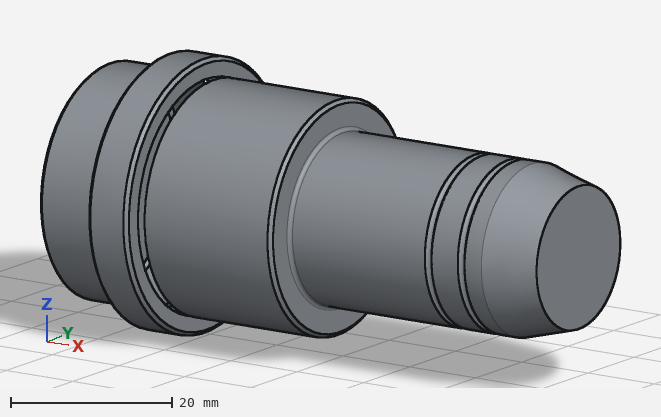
import cadquery as cq
import math

total_length = 71.0
body_diameter = 30.0
flange_diameter = 35.0
shank_diameter = 22.0

flange_start = 9.0
flange_end = 15.0
body_end = 35.0
taper_start = 64.0

edge_chamfer = 0.5
shank_root_fillet = 0.5
taper_angle = 15.0

groove_radius = 0.5
shank_groove_centers = (55.95, 60.9)


def cylinder(start, end, diameter):
    """Solid cylinder along X between two stations."""
    return cq.Workplane("YZ", origin=(start, 0, 0)).circle(diameter / 2).extrude(end - start)


def groove_ring(center, diameter):
    """Torus that cuts a half-round groove around a cylinder of the given diameter."""
    return (
        cq.Workplane("XY")
        .center(center, diameter / 2)
        .circle(groove_radius)
        .revolve(360, (0, -diameter / 2), (1, -diameter / 2))
    )


def make_body():
    """Head cylinder with a groove directly on each side of the flange."""
    body = cylinder(0, body_end, body_diameter).faces("<X or >X").chamfer(edge_chamfer)
    for center in (flange_start - groove_radius, flange_end + groove_radius):
        body = body.cut(groove_ring(center, body_diameter))
    return body


def make_flange():
    """Collar with both rims chamfered."""
    return cylinder(flange_start, flange_end, flange_diameter).faces("<X or >X").chamfer(edge_chamfer)


def make_shank():
    """Shank with a filleted root, two grooves and a tapered tip."""
    radius = shank_diameter / 2
    tip_radius = radius - (total_length - taper_start) * math.tan(math.radians(taper_angle))
    shank = (
        cq.Workplane("XY")
        .moveTo(body_end, 0)
        .lineTo(body_end, radius + shank_root_fillet)
        .radiusArc((body_end + shank_root_fillet, radius), -shank_root_fillet)
        .lineTo(taper_start, radius)
        .lineTo(total_length, tip_radius)
        .lineTo(total_length, 0)
        .close()
        .revolve(360, (0, 0), (1, 0))
    )
    for center in shank_groove_centers:
        shank = shank.cut(groove_ring(center, shank_diameter))
    return shank


result = make_body().union(make_flange()).union(make_shank())